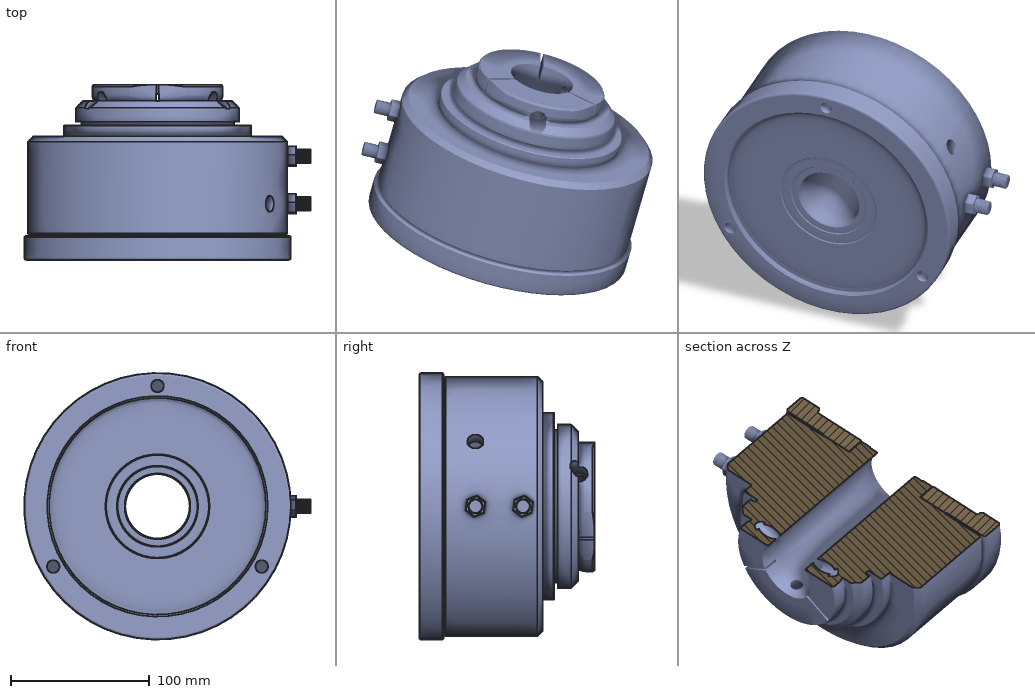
import cadquery as cq
import math


OVERALL_LENGTH = 206.2
CUT_MARGIN = 2.0

FLANGE_DIAMETER = 192.0
FLANGE_RADIUS = FLANGE_DIAMETER / 2
FLANGE_BACK = 17.5
FLANGE_FRONT_FILLET = 1.9
FLANGE_BACK_CHAMFER = 1.0
BOSS_RADIUS = 60.5
RUNNING_GAP = 1.0

RECESS_RADIUS = 79.5
RECESS_CHAMFER = 1.5
RECESS_DEPTH = 4.1
RECESS_FLOOR_RADIUS = 75.7
RECESS_FLOOR_BEVEL = 0.6

BOLT_HOLE_RADIUS = 4.5
BOLT_CIRCLE_RADIUS = 86.6
BOLT_ANGLES = (90, 210, 330)

HUB_RADIUS = 37.0
SLEEVE_RADIUS = 29.3
BORE_RADIUS = 23.0
STEP_BEVEL = 0.6

HOUSING_FRONT = FLANGE_BACK + RUNNING_GAP
HOUSING_BACK = 88.9
HOUSING_RADIUS = 93.5
HOUSING_FRONT_CHAMFER = 0.6
HOUSING_BACK_CHAMFER = 4.0
STEP_RADIUS = 67.5
STEP_BACK = 97.1
STEP_CHAMFER = 0.6
NECK_RADIUS = 55.0
NECK_BACK = 99.6
COLLAR_RADIUS = 59.0
COLLAR_BACK = 114.5
COLLAR_CHAMFER = 5.0
COLLAR_BEVEL_RADIAL = 0.5
COLLAR_BEVEL_AXIAL = 1.2

CLAMP_RADIUS = 47.0
CLAMP_BACK = 126.2
CLAMP_BEVEL_RADIAL = 1.0
CLAMP_FRONT_BEVEL = 4.0
CLAMP_BACK_BEVEL = 1.6
RELIEF_DEPTH = 1.0
RELIEF_HALF_WIDTH = 19.8
SLIT_WIDTH = 2.0
SLIT_ANGLES = (90, 210, 330)

SCREW_ANGLES = (30, 150, 270)
SCREW_Y = 114.9
SCREW_HEAD_RADIUS = 6.2
SCREW_SEAT_RADIUS = 37.1
SCREW_HOLE_RADIUS = 4.5

SIDE_HOLE_RADIUS = 5.8
SIDE_HOLE_ANGLE = 30
SIDE_HOLE_DEPTH = 10.3

LOWER_FITTING_Y = 40.5
UPPER_FITTING_Y = 74.7
HEX_CORNER_RADIUS = 7.8
HEX_TURN = 22
HEX_END = 100.0
HEX_EDGE_CHAMFER = 0.5
THREAD_RADIUS = 5.2
THREAD_DEPTH = 0.5
THREAD_END = OVERALL_LENGTH - FLANGE_RADIUS
THREAD_COUNT = 12
THREAD_PITCH = (THREAD_END - HEX_END) / THREAD_COUNT
SHANK_RADIUS = THREAD_RADIUS
SHANK_LENGTH = 8.2


def revolve_about_y(points):
    """Solid of revolution from (radius, Y) points."""
    return cq.Workplane("XY").polyline(points).close().revolve(360, (0, 0, 0), (0, 1, 0))


def radial_cylinder(radius, inner, outer, y, angle):
    """Cylinder pointing away from the Y axis; angle runs from +X towards +Z."""
    direction = cq.Vector(math.cos(math.radians(angle)), 0, math.sin(math.radians(angle)))
    start = direction * inner + cq.Vector(0, y, 0)
    return cq.Workplane(cq.Solid.makeCylinder(radius, outer - inner, start, direction))


def make_flange():
    recess_inner = RECESS_RADIUS - RECESS_CHAMFER
    body = revolve_about_y([
        (HUB_RADIUS, RECESS_DEPTH + STEP_BEVEL),
        (HUB_RADIUS + STEP_BEVEL, RECESS_DEPTH),
        (RECESS_FLOOR_RADIUS, RECESS_DEPTH),
        (recess_inner, RECESS_DEPTH - RECESS_FLOOR_BEVEL),
        (recess_inner, RECESS_CHAMFER),
        (RECESS_RADIUS, 0),
        (FLANGE_RADIUS, 0),
        (FLANGE_RADIUS, FLANGE_BACK - FLANGE_BACK_CHAMFER),
        (FLANGE_RADIUS - FLANGE_BACK_CHAMFER, FLANGE_BACK),
        (BOSS_RADIUS, FLANGE_BACK),
        (BOSS_RADIUS, HOUSING_FRONT),
        (HUB_RADIUS, HOUSING_FRONT),
    ])
    rim = cq.selectors.RadiusNthSelector(-1)
    body = body.faces("<Y").edges(rim).fillet(FLANGE_FRONT_FILLET)
    for angle in BOLT_ANGLES:
        x = BOLT_CIRCLE_RADIUS * math.cos(math.radians(angle))
        z = BOLT_CIRCLE_RADIUS * math.sin(math.radians(angle))
        hole = cq.Solid.makeCylinder(BOLT_HOLE_RADIUS, FLANGE_BACK, cq.Vector(x, 0, z), cq.Vector(0, 1, 0))
        body = body.cut(cq.Workplane(hole))
    return body


def make_stepped_housing():
    """Hub stem, housing, step, neck and collar, up to the collar back face."""
    hub_y = RECESS_DEPTH + STEP_BEVEL
    sleeve_y = hub_y + STEP_BEVEL
    return revolve_about_y([
        (BORE_RADIUS, sleeve_y + STEP_BEVEL),
        (BORE_RADIUS + STEP_BEVEL, sleeve_y),
        (SLEEVE_RADIUS - STEP_BEVEL, sleeve_y),
        (SLEEVE_RADIUS, hub_y),
        (HUB_RADIUS, hub_y),
        (HUB_RADIUS, HOUSING_FRONT),
        (HOUSING_RADIUS - HOUSING_FRONT_CHAMFER, HOUSING_FRONT),
        (HOUSING_RADIUS, HOUSING_FRONT + HOUSING_FRONT_CHAMFER),
        (HOUSING_RADIUS, HOUSING_BACK - HOUSING_BACK_CHAMFER),
        (HOUSING_RADIUS - HOUSING_BACK_CHAMFER, HOUSING_BACK),
        (STEP_RADIUS, HOUSING_BACK),
        (STEP_RADIUS, STEP_BACK - STEP_CHAMFER),
        (STEP_RADIUS - STEP_CHAMFER, STEP_BACK),
        (NECK_RADIUS, STEP_BACK),
        (NECK_RADIUS, NECK_BACK),
        (COLLAR_RADIUS, NECK_BACK),
        (COLLAR_RADIUS, COLLAR_BACK - COLLAR_CHAMFER - COLLAR_BEVEL_AXIAL),
        (COLLAR_RADIUS - COLLAR_BEVEL_RADIAL, COLLAR_BACK - COLLAR_CHAMFER),
        (COLLAR_RADIUS - COLLAR_BEVEL_RADIAL - COLLAR_CHAMFER, COLLAR_BACK),
        (BORE_RADIUS, COLLAR_BACK),
    ])


def make_clamp_ring():
    ring = revolve_about_y([
        (BORE_RADIUS, COLLAR_BACK),
        (CLAMP_RADIUS - CLAMP_BEVEL_RADIAL, COLLAR_BACK),
        (CLAMP_RADIUS, COLLAR_BACK + CLAMP_FRONT_BEVEL),
        (CLAMP_RADIUS, CLAMP_BACK - CLAMP_BACK_BEVEL),
        (CLAMP_RADIUS - CLAMP_BEVEL_RADIAL, CLAMP_BACK),
        (BORE_RADIUS, CLAMP_BACK),
    ])
    length = CLAMP_BACK - COLLAR_BACK
    edge_z = math.sqrt(CLAMP_RADIUS**2 - RELIEF_HALF_WIDTH**2)
    outside_z = CLAMP_RADIUS + CUT_MARGIN
    relief = (
        cq.Workplane("XZ", origin=(0, CLAMP_BACK, 0))
        .moveTo(-RELIEF_HALF_WIDTH, edge_z)
        .threePointArc((0, CLAMP_RADIUS - RELIEF_DEPTH), (RELIEF_HALF_WIDTH, edge_z))
        .lineTo(RELIEF_HALF_WIDTH, outside_z)
        .lineTo(-RELIEF_HALF_WIDTH, outside_z)
        .close()
        .extrude(length)
    )
    slit = cq.Workplane("XY").box(SLIT_WIDTH, length, outside_z, centered=(True, False, False))
    slit = slit.translate((0, COLLAR_BACK, 0))
    for angle in SLIT_ANGLES:
        turn = SLIT_ANGLES[0] - angle
        for cutter in (relief, slit):
            ring = ring.cut(cutter.rotate((0, 0, 0), (0, 1, 0), turn))
    return ring


def make_housing():
    body = make_stepped_housing().union(make_clamp_ring())
    for angle in SCREW_ANGLES:
        body = body.cut(radial_cylinder(SCREW_HOLE_RADIUS, 0, SCREW_SEAT_RADIUS, SCREW_Y, angle))
        body = body.cut(
            radial_cylinder(SCREW_HEAD_RADIUS, SCREW_SEAT_RADIUS, HOUSING_RADIUS, SCREW_Y, angle)
        )
    cut_radius = HOUSING_RADIUS + CUT_MARGIN
    hole_bottom = HOUSING_RADIUS - SIDE_HOLE_DEPTH
    body = body.cut(
        radial_cylinder(SIDE_HOLE_RADIUS, hole_bottom, cut_radius, LOWER_FITTING_Y, SIDE_HOLE_ANGLE)
    )
    for y in (LOWER_FITTING_Y, UPPER_FITTING_Y):
        port = radial_cylinder(SHANK_RADIUS, HOUSING_RADIUS - SHANK_LENGTH, cut_radius, y, 0)
        body = body.cut(port)
    return body


def make_fitting(y):
    """Hex fitting: shank in the housing port, hexagon, and a ringed thread end."""
    shank = radial_cylinder(SHANK_RADIUS, HOUSING_RADIUS - SHANK_LENGTH, HOUSING_RADIUS, y, 0)
    hexagon = (
        cq.Workplane("YZ", origin=(HOUSING_RADIUS, 0, 0))
        .polygon(6, 2 * HEX_CORNER_RADIUS)
        .extrude(HEX_END - HOUSING_RADIUS)
        .faces("<X or >X")
        .chamfer(HEX_EDGE_CHAMFER)
        .rotate((0, 0, 0), (1, 0, 0), HEX_TURN)
        .translate((0, y, 0))
    )
    root = THREAD_RADIUS - THREAD_DEPTH
    outline = [(HEX_END, 0), (HEX_END, root)]
    for ridge in range(THREAD_COUNT):
        start = HEX_END + ridge * THREAD_PITCH
        outline.append((start + THREAD_PITCH / 2, THREAD_RADIUS))
        outline.append((start + THREAD_PITCH, root))
    outline.append((THREAD_END, 0))
    thread = (
        cq.Workplane("XY").polyline(outline).close().revolve(360, (0, 0, 0), (1, 0, 0)).translate((0, y, 0))
    )
    return shank.union(hexagon).union(thread)


flange = make_flange()
housing = make_housing()
fittings = [make_fitting(y) for y in (LOWER_FITTING_Y, UPPER_FITTING_Y)]

result = cq.Compound.makeCompound([
    flange.val(),
    housing.val(),
    *[fitting.val() for fitting in fittings],
])